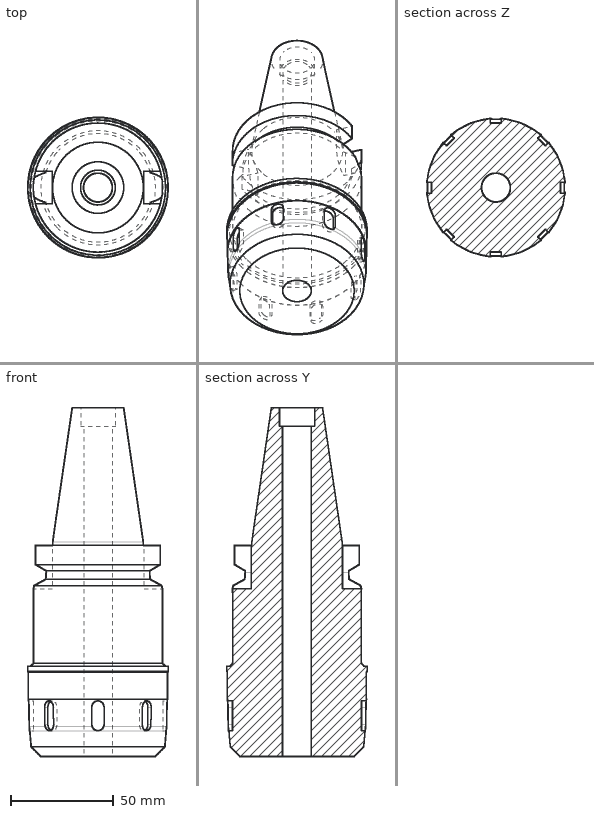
import cadquery as cq

TOTAL_HEIGHT = 170.4

TAPER_ON_RADIUS = 7 / 48
GAUGE_RADIUS = 22.2
GAUGE_Z = 105.0
SHANK_TOP_RADIUS = GAUGE_RADIUS - (TOTAL_HEIGHT - GAUGE_Z) * TAPER_ON_RADIUS

BODY_RADIUS = 31.5
FLANGE_TOP_Z = 103.1
FLANGE_BOTTOM_Z = 93.7
GROOVE_RADIUS = 26.5
GROOVE_TOP_Z = 90.7
GROOVE_BOTTOM_Z = 86.5
BODY_TOP_Z = 83.5

RING_RADIUS = 34.34
RING_CHAMFER_RADIUS = 33.0
RING_CHAMFER_TOP_Z = 45.5
RING_TOP_Z = 44.1
RING_BOTTOM_Z = 41.5

COLLAR_RADIUS = 34.0
COLLAR_TOP_Z = 41.0
COLLAR_BOTTOM_Z = 28.1
GRIP_TOP_RADIUS = 33.9
GRIP_BOTTOM_RADIUS = 33.7
GRIP_BOTTOM_Z = 14.8
NOSE_TOP_RADIUS = 33.4
NOSE_TOP_Z = 12.6
NOSE_BOTTOM_RADIUS = 32.7
END_CHAMFER = 4.8

DRIVE_SLOT_WIDTH = 16.0
DRIVE_SLOT_FLOOR_X = 22.3
DRIVE_SLOT_BOTTOM_Z = 82.0

SPANNER_SLOT_COUNT = 8
SPANNER_SLOT_WIDTH = 6.0
SPANNER_SLOT_HEIGHT = 14.5
SPANNER_SLOT_CENTER_Z = 20.0
SPANNER_SLOT_FLOOR = BODY_RADIUS

BORE_RADIUS = 7.0
COUNTERBORE_RADIUS = 8.5
COUNTERBORE_DEPTH = 9.0


def turned_body():
    """Solid of revolution that gives the whole outside of the holder."""
    profile = [
        (0, 0),
        (NOSE_BOTTOM_RADIUS - END_CHAMFER, 0),
        (NOSE_BOTTOM_RADIUS, END_CHAMFER),
        (NOSE_TOP_RADIUS, NOSE_TOP_Z),
        (GRIP_BOTTOM_RADIUS, GRIP_BOTTOM_Z),
        (GRIP_TOP_RADIUS, COLLAR_BOTTOM_Z),
        (COLLAR_RADIUS, COLLAR_BOTTOM_Z),
        (COLLAR_RADIUS, COLLAR_TOP_Z),
        (RING_RADIUS, RING_BOTTOM_Z),
        (RING_RADIUS, RING_TOP_Z),
        (RING_CHAMFER_RADIUS, RING_TOP_Z),
        (BODY_RADIUS, RING_CHAMFER_TOP_Z),
        (BODY_RADIUS, BODY_TOP_Z),
        (GROOVE_RADIUS, GROOVE_BOTTOM_Z),
        (GROOVE_RADIUS, GROOVE_TOP_Z),
        (BODY_RADIUS, FLANGE_BOTTOM_Z),
        (BODY_RADIUS, FLANGE_TOP_Z),
        (GAUGE_RADIUS, FLANGE_TOP_Z),
        (GAUGE_RADIUS, GAUGE_Z),
        (SHANK_TOP_RADIUS, TOTAL_HEIGHT),
        (0, TOTAL_HEIGHT),
    ]
    return cq.Workplane("XZ").polyline(profile).close().revolve(360, (0, 0), (0, 1))


def drive_slot():
    """Round-bottomed slot on +X, open at the top and outside of the flange."""
    half_width = DRIVE_SLOT_WIDTH / 2
    arc_center_z = DRIVE_SLOT_BOTTOM_Z + half_width
    return (
        cq.Workplane("YZ", origin=(DRIVE_SLOT_FLOOR_X, 0, 0))
        .moveTo(-half_width, FLANGE_TOP_Z)
        .lineTo(-half_width, arc_center_z)
        .threePointArc((0, DRIVE_SLOT_BOTTOM_Z), (half_width, arc_center_z))
        .lineTo(half_width, FLANGE_TOP_Z)
        .close()
        .extrude(RING_RADIUS - DRIVE_SLOT_FLOOR_X)
    )


def spanner_slot():
    """Flat-floored slot with round ends on the +X side of the nut."""
    return (
        cq.Workplane("YZ", origin=(SPANNER_SLOT_FLOOR, 0, SPANNER_SLOT_CENTER_Z))
        .slot2D(SPANNER_SLOT_HEIGHT, SPANNER_SLOT_WIDTH, 90)
        .extrude(RING_RADIUS - SPANNER_SLOT_FLOOR)
    )


def around_axis(cutter, count):
    """Copies of a cutter spaced evenly around Z."""
    return [cutter.rotate((0, 0, 0), (0, 0, 1), i * 360 / count) for i in range(count)]


result = turned_body()

for slot in around_axis(drive_slot(), 2):
    result = result.cut(slot)

for slot in around_axis(spanner_slot(), SPANNER_SLOT_COUNT):
    result = result.cut(slot)

bore = cq.Workplane("XY").circle(BORE_RADIUS).extrude(TOTAL_HEIGHT)
counterbore = (
    cq.Workplane("XY", origin=(0, 0, TOTAL_HEIGHT - COUNTERBORE_DEPTH))
    .circle(COUNTERBORE_RADIUS)
    .extrude(COUNTERBORE_DEPTH)
)
result = result.cut(bore).cut(counterbore)